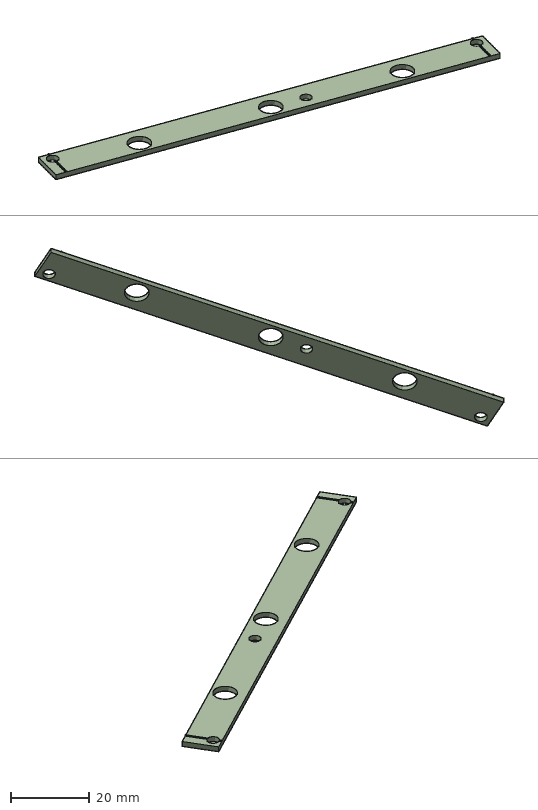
import cadquery as cq

width = 9.8
length = 128.5
total_height = 1.7
mark_height = 0.19
plate_thickness = total_height - mark_height

mount_diameter = 3.2
mount_x = 2.3
mount_end_distance = 3.0

jack_diameter = 6.3
jack_x = 5.8
jack_pitch = 38.0
indicator_diameter = 3.1
indicator_y = 10.2

mark_width = 0.4
mark_gap = 3.5

mount_y = length / 2 - mount_end_distance
mount_points = [(mount_x, mount_y), (mount_x, -mount_y)]
jack_points = [(jack_x, row * jack_pitch) for row in (-1, 0, 1)]


def raised_mark(start_x, end_x, center_y):
    """Raised line on the plate running along X."""
    return (
        cq.Workplane("XY", origin=(0, 0, plate_thickness))
        .center((start_x + end_x) / 2, center_y)
        .rect(end_x - start_x, mark_width)
        .extrude(mark_height)
    )


def drill(body, points, diameter):
    """Cut round through holes at the given points."""
    cutters = cq.Workplane("XY").pushPoints(points).circle(diameter / 2).extrude(total_height)
    return body.cut(cutters)


result = cq.Workplane("XY").box(width, length, plate_thickness, centered=(False, True, False))

result = drill(result, mount_points, mount_diameter)
result = drill(result, jack_points, jack_diameter)
result = drill(result, [(jack_x, indicator_y)], indicator_diameter)

for hole_x, hole_y in mount_points:
    result = result.union(raised_mark(0, hole_x - mark_gap / 2, hole_y))
    result = result.union(raised_mark(hole_x + mark_gap / 2, width, hole_y))